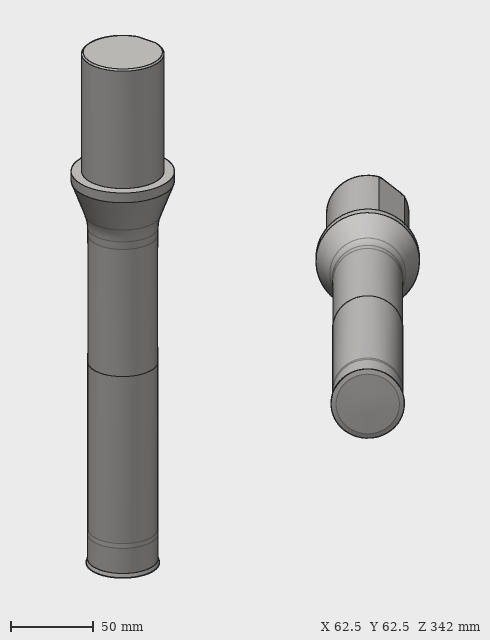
import cadquery as cq
import math

total_length = 342.0
split_height = 135.5

bar_diameter = 42.5
end_diameter = 42.7
rim_diameter = 44.5
rim_bottom = 1.5
rim_top = 1.7
rim_slope_top = 4.0
end_face_radius = 19.0
end_face_height = 0.7
end_section_top = 21.0
end_taper_length = 3.0

neck_diameter = 42.7
waist_diameter = 42.0
waist_end_diameter = 42.5
waist_top = 220.2
neck_bottom = 225.5
flare_corner_height = 229.8
flange_diameter = 62.5
flange_bottom = 256.0
flange_top = 262.5

shank_diameter = 50.0
shank_chamfer = 1.0
flat_offset = 23.0
flat_ramp_height = 5.5


def revolve_profile(profile):
    """Turn a closed radius-height outline into a solid about the Z axis."""
    return profile.close().revolve(360, (0, 0, 0), (0, 1, 0))


def make_lower_bar():
    """Round bar with a shallow conical end face and a raised cutting rim."""
    profile = (
        cq.Workplane("XZ")
        .lineTo(end_face_radius, end_face_height)
        .lineTo(rim_diameter / 2, rim_bottom)
        .lineTo(rim_diameter / 2, rim_top)
        .lineTo(end_diameter / 2, rim_slope_top)
        .lineTo(end_diameter / 2, end_section_top)
        .lineTo(bar_diameter / 2, end_section_top + end_taper_length)
        .lineTo(bar_diameter / 2, split_height)
        .lineTo(0, split_height)
    )
    return revolve_profile(profile)


def make_flat_cutter():
    """Block that cuts the +Y shank flat, with a 45 degree run-out near the flange."""
    ramp_top = flange_top + flat_ramp_height
    ramp_end_offset = flat_offset + flat_ramp_height
    return (
        cq.Workplane("YZ")
        .moveTo(flat_offset, ramp_top)
        .lineTo(ramp_end_offset, flange_top)
        .lineTo(ramp_end_offset, total_length)
        .lineTo(flat_offset, total_length)
        .close()
        .extrude(shank_diameter / 2, both=True)
    )


def make_holder():
    """Waisted neck, flared flange and shank with one flat."""
    neck_radius = neck_diameter / 2
    flare_angle = math.atan2(flange_diameter / 2 - neck_radius, flange_bottom - flare_corner_height)
    tangent_length = flare_corner_height - neck_bottom
    blend_end_radius = neck_radius + tangent_length * math.sin(flare_angle)
    blend_end_height = flare_corner_height + tangent_length * math.cos(flare_angle)
    arc_radius = tangent_length / math.tan(flare_angle / 2)
    blend_middle_radius = neck_radius + arc_radius * (1 - math.cos(flare_angle / 2))
    blend_middle_height = neck_bottom + arc_radius * math.sin(flare_angle / 2)
    profile = (
        cq.Workplane("XZ")
        .moveTo(0, split_height)
        .lineTo(waist_end_diameter / 2, split_height)
        .threePointArc(
            (waist_diameter / 2, (split_height + waist_top) / 2),
            (waist_end_diameter / 2, waist_top),
        )
        .lineTo(neck_radius, neck_bottom)
        .threePointArc(
            (blend_middle_radius, blend_middle_height),
            (blend_end_radius, blend_end_height),
        )
        .lineTo(flange_diameter / 2, flange_bottom)
        .lineTo(flange_diameter / 2, flange_top)
        .lineTo(shank_diameter / 2, flange_top)
        .lineTo(shank_diameter / 2, total_length - shank_chamfer)
        .lineTo(shank_diameter / 2 - shank_chamfer, total_length)
        .lineTo(0, total_length)
    )
    return revolve_profile(profile).cut(make_flat_cutter())


lower_bar = make_lower_bar()
holder = make_holder()

result = cq.Compound.makeCompound([lower_bar.val(), holder.val()])